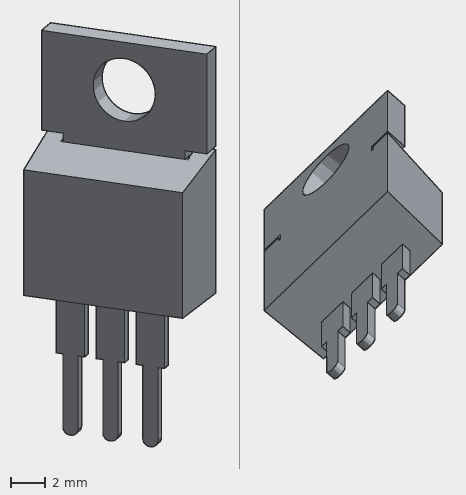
import cadquery as cq


width = 10.51
depth = 4.66
height = 24.31

body_front_width = 10.11
body_height = 9.03
body_front_height = 7.9

tab_thickness = 1.4
tab_top = 15.5
tab_height = 6.27
tab_bottom = tab_top - tab_height
neck_width = 7.75
neck_clearance = 0.15
hole_diameter = 3.93
hole_drop = 2.99

lead_count = 3
lead_pitch = 2.54
lead_thickness = 0.6
lead_back_offset = 2.95
shoulder_width = 1.8
shoulder_length = 3.77
pin_width = 0.96
pin_tip_radius = 0.45
lead_length = height - tab_top

top_slope = (body_height - body_front_height) / depth
recess_floor = body_height - top_slope * tab_thickness


def box(size_x, y_back, size_y, z_bottom, z_top):
    """Box centred on X that reaches from y_back toward -Y."""
    block = cq.Workplane("XY").box(size_x, size_y, z_top - z_bottom, centered=(True, False, False))
    return block.translate((0, y_back - size_y, z_bottom))


def make_body():
    """Prism narrowing toward the front, with a sloped top and a recess for the tab neck."""
    plan = (
        cq.Workplane("XY")
        .polyline([
            (-width / 2, 0),
            (width / 2, 0),
            (body_front_width / 2, -depth),
            (-body_front_width / 2, -depth),
        ])
        .close()
        .extrude(body_height)
    )
    side_profile = (
        cq.Workplane("YZ")
        .polyline([(0, 0), (0, body_height), (-depth, body_front_height), (-depth, 0)])
        .close()
        .extrude(width / 2, both=True)
    )
    recess_width = neck_width + 2 * neck_clearance
    recess = box(recess_width, 0, tab_thickness, recess_floor, body_height)
    return plan.intersect(side_profile).cut(recess)


def make_tab():
    """Drilled plate standing on a narrower neck."""
    plate = box(width, 0, tab_thickness, tab_bottom, tab_top)
    neck = box(neck_width, 0, tab_thickness, recess_floor, tab_bottom)
    hole = (
        cq.Workplane("XZ")
        .center(0, tab_top - hole_drop)
        .circle(hole_diameter / 2)
        .extrude(tab_thickness)
    )
    return plate.cut(hole).union(neck)


def make_lead():
    """Wide shoulder stepping down to a slim pin with a rounded tip."""
    shoulder = box(shoulder_width, -lead_back_offset, lead_thickness, -shoulder_length, 0)
    pin = box(pin_width, -lead_back_offset, lead_thickness, -lead_length, -shoulder_length)
    rounded_pin = pin.faces("<Z").edges("|Y").fillet(pin_tip_radius)
    return shoulder.union(rounded_pin)


result = make_body().union(make_tab())
for index in range(lead_count):
    lead_x = (index - (lead_count - 1) / 2) * lead_pitch
    result = result.union(make_lead().translate((lead_x, 0, 0)))